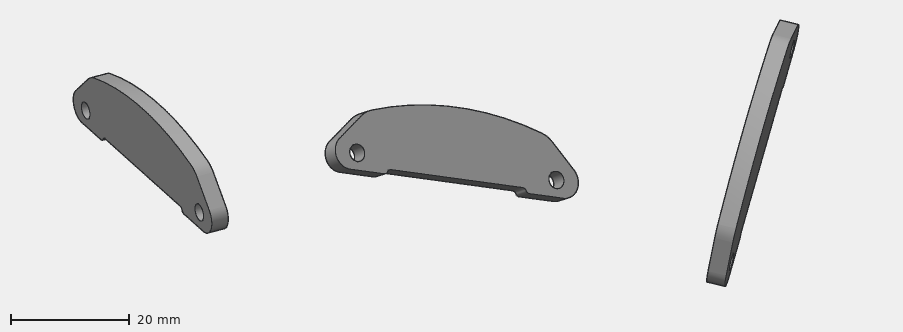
import cadquery as cq
import math

length = 48.8
height = 13.2
thickness = 3.15

end_radius = 3.0
hole_diameter = 3.0
hole_spacing = 40.0
hole_height = end_radius

crown_radius = 60.0
shoulder_blend_radius = 5.0

relief_depth = 0.9
relief_half_width = 13.25
foot_inner_edge = 14.55

end_center_x = length / 2 - end_radius
diagonal = end_radius * math.sqrt(0.5)
shoulder_x = end_center_x + diagonal
shoulder_z = end_radius + diagonal

crown_center_z = height - crown_radius
shoulder_sum = shoulder_x + shoulder_z
center_offset = shoulder_sum - crown_center_z
corner_x = (center_offset - math.sqrt(2 * crown_radius**2 - center_offset**2)) / 2
corner_z = shoulder_sum - corner_x

step_run = foot_inner_edge - relief_half_width
step_angle = 2 * math.atan2(relief_depth, step_run)
step_radius = step_run / (2 * math.sin(step_angle))
step_mid_x = (foot_inner_edge + relief_half_width) / 2
step_mid_z = relief_depth / 2
arc_mid_run = step_radius * math.sin(step_angle / 2)
arc_mid_rise = step_radius * (1 - math.cos(step_angle / 2))


def make_plate():
    """Extrude the symmetric outline and blend the crown into the shoulders."""
    outline = (
        cq.Workplane("XZ", origin=(0, thickness / 2, 0))
        .moveTo(-end_center_x, 0)
        .threePointArc((-length / 2, end_radius), (-shoulder_x, shoulder_z))
        .lineTo(-corner_x, corner_z)
        .threePointArc((0, height), (corner_x, corner_z))
        .lineTo(shoulder_x, shoulder_z)
        .threePointArc((length / 2, end_radius), (end_center_x, 0))
        .lineTo(foot_inner_edge, 0)
        .threePointArc((foot_inner_edge - arc_mid_run, arc_mid_rise), (step_mid_x, step_mid_z))
        .threePointArc(
            (relief_half_width + arc_mid_run, relief_depth - arc_mid_rise),
            (relief_half_width, relief_depth),
        )
        .lineTo(-relief_half_width, relief_depth)
        .threePointArc(
            (-relief_half_width - arc_mid_run, relief_depth - arc_mid_rise),
            (-step_mid_x, step_mid_z),
        )
        .threePointArc((-foot_inner_edge + arc_mid_run, arc_mid_rise), (-foot_inner_edge, 0))
        .close()
    )
    plate = outline.extrude(thickness)
    corner_margin = 0.5
    corner_edges = cq.selectors.BoxSelector(
        (-length, -thickness, corner_z - corner_margin), (length, thickness, corner_z + corner_margin)
    )
    return plate.edges("|Y").edges(corner_edges).fillet(shoulder_blend_radius)


def make_holes():
    """Two through-holes along Y, one near each end."""
    return (
        cq.Workplane("XZ", origin=(0, thickness / 2, 0))
        .pushPoints([(side * hole_spacing / 2, hole_height) for side in (-1, 1)])
        .circle(hole_diameter / 2)
        .extrude(thickness)
    )


result = make_plate().cut(make_holes())